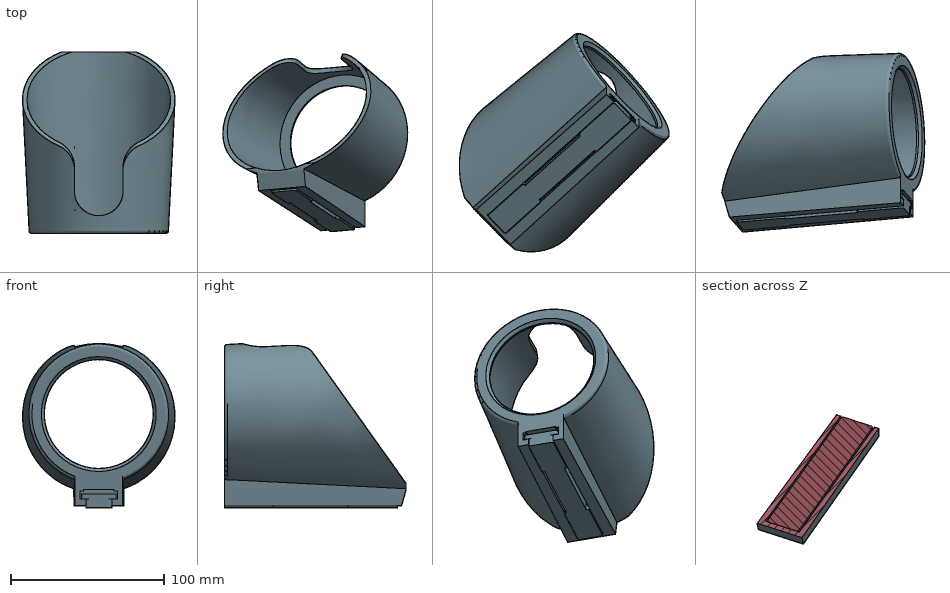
import cadquery as cq
import math

MARGIN = 5.0

base_radius = 45.65
base_thickness = 3.3
base_edge_fillet = 2.0
bore_radius = 35.5
bore_chamfer = 2.0
wall = 3.0
cup_length = 118.8
wall_slope = 0.0502
rear_radius = base_radius + wall_slope * (cup_length - base_thickness)

mouth_angle = 54.5
mouth_axis_y = 86.4
finger_half_width = 15.86
finger_end_y = 11.75
finger_flare_radius = 10.3

block_front_half_width = 15.4
block_rear_half_width = 16.35
block_bottom_z = -60.0
rear_bevel_top_z = -49.5
rear_bevel_depth = 3.0

insert_length = 113.1
insert_bottom_z = -61.3
insert_top_z = -52.2
insert_flange_half_width = 11.4
insert_corner_radius = 1.75
neck_half_width = 8.5
notch_half_width = neck_half_width - insert_corner_radius
notch_start_y = 31.7
notch_end_y = 80.8
ledge_z = -55.5
slot_half_width = 12.1
slot_roof_z = -50.2
groove_half_width = 10.1
groove_roof_z = -49.4


def box(half_width, y_start, y_end, z_bottom, z_top):
    """Box centred on X = 0."""
    return cq.Workplane("XY").box(
        2 * half_width, y_end - y_start, z_top - z_bottom, centered=(True, False, False)
    ).translate((0, y_start, z_bottom))


def cup_outside():
    profile = (
        cq.Workplane("XY")
        .lineTo(base_radius - base_edge_fillet, 0)
        .radiusArc((base_radius, base_edge_fillet), -base_edge_fillet)
        .lineTo(base_radius, base_thickness)
        .lineTo(rear_radius, cup_length)
        .lineTo(0, cup_length)
        .close()
    )
    return profile.revolve(360, (0, 0, 0), (0, 1, 0))


def cup_inside():
    """Chamfered bore through the base, then a cavity that follows the tapered wall."""
    profile = (
        cq.Workplane("XY")
        .lineTo(bore_radius + bore_chamfer, 0)
        .lineTo(bore_radius, bore_chamfer)
        .lineTo(bore_radius, base_thickness)
        .lineTo(base_radius - wall, base_thickness)
        .lineTo(rear_radius - wall, cup_length)
        .lineTo(0, cup_length)
        .close()
    )
    return profile.revolve(360, (0, 0, 0), (0, 1, 0))


def block():
    outline = [
        (-block_front_half_width, 0),
        (block_front_half_width, 0),
        (block_rear_half_width, cup_length),
        (-block_rear_half_width, cup_length),
    ]
    return (
        cq.Workplane("XY", origin=(0, 0, block_bottom_z))
        .polyline(outline)
        .close()
        .extrude(-block_bottom_z)
    )


def rear_bevel():
    """Wedge that slopes the rear end of the block forward towards its bottom."""
    run_per_drop = rear_bevel_depth / (rear_bevel_top_z - block_bottom_z)
    low_z = block_bottom_z - MARGIN
    low_y = cup_length - run_per_drop * (rear_bevel_top_z - low_z)
    outline = [(cup_length, rear_bevel_top_z), (low_y, low_z), (cup_length, low_z)]
    return cq.Workplane("YZ").polyline(outline).close().extrude(rear_radius, both=True)


def mouth_and_finger_cut():
    """Everything behind the slanted mouth plane, joined to the finger slot by flared edges."""
    rise = math.tan(math.radians(mouth_angle))
    top_z = rear_radius + MARGIN
    low_y = cup_length + MARGIN
    outline = [
        (mouth_axis_y - top_z / rise, top_z),
        (low_y, top_z),
        (low_y, -rise * (low_y - mouth_axis_y)),
    ]
    mouth = cq.Workplane("YZ").polyline(outline).close().extrude(rear_radius + MARGIN, both=True)

    finger_center_y = finger_end_y + finger_half_width
    slot = box(finger_half_width, finger_center_y, mouth_axis_y, 0, top_z)
    slot_end = (
        cq.Workplane("XY")
        .center(0, finger_center_y)
        .circle(finger_half_width)
        .extrude(top_z)
    )
    slope_direction = cq.Vector(0, 1, -rise)
    return (
        mouth.union(slot)
        .union(slot_end)
        .edges(cq.selectors.ParallelDirSelector(slope_direction))
        .edges(cq.selectors.BoxSelector(
            (-finger_half_width - MARGIN, 0, 0),
            (finger_half_width + MARGIN, cup_length, top_z),
        ))
        .fillet(finger_flare_radius)
    )


def insert_slot():
    """T-shaped slot, open at the front and bottom, with a shallow groove in its roof."""
    neck = box(neck_half_width, 0, insert_length, block_bottom_z, ledge_z)
    flange = box(slot_half_width, 0, insert_length, ledge_z, slot_roof_z)
    groove = box(groove_half_width, 0, insert_length, slot_roof_z, groove_roof_z)
    return neck.union(flange).union(groove)


def make_housing():
    return (
        cup_outside()
        .union(block())
        .cut(cup_inside())
        .cut(rear_bevel())
        .cut(mouth_and_finger_cut())
        .cut(insert_slot())
    )


def rounded_bar(half_width, y_start, y_end, z_bottom, z_top):
    return box(half_width, y_start, y_end, z_bottom, z_top).edges("|Z").fillet(insert_corner_radius)


def make_insert():
    """Flanged bar whose neck is waisted between two round-cornered guide blocks."""
    flange = rounded_bar(insert_flange_half_width, 0, insert_length, ledge_z, insert_top_z)
    waist_start_y = notch_start_y / 2
    waist_end_y = (notch_end_y + insert_length) / 2
    waist = box(notch_half_width, waist_start_y, waist_end_y, insert_bottom_z, ledge_z)
    insert = flange.union(waist)
    for y_start, y_end in ((0, notch_start_y), (notch_end_y, insert_length)):
        insert = insert.union(rounded_bar(neck_half_width, y_start, y_end, insert_bottom_z, ledge_z))
    return insert


housing = make_housing()
insert = make_insert()

result = cq.Compound.makeCompound([housing.solids().val(), insert.solids().val()])